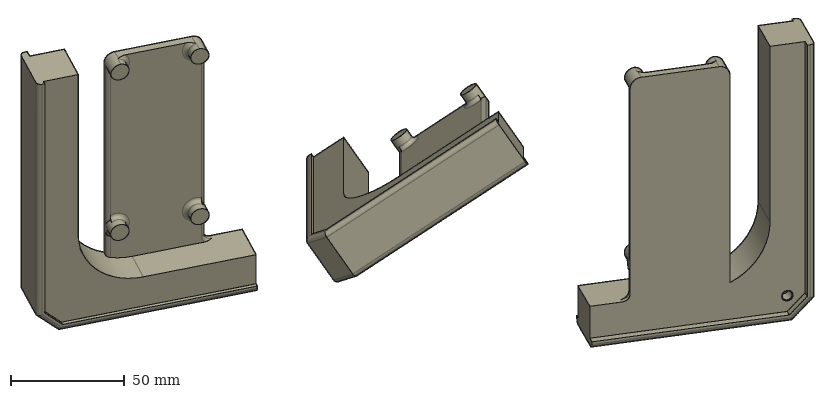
import cadquery as cq
import math

WIDTH = 24.7
DEPTH = 101.59
HEIGHT = 137.64

BASE_HEIGHT = 19.5
COLUMN_DEPTH = 19.5
CORNER_CHAMFER = 10.2
SLOT_RADIUS = 30.0

RIM_THICKNESS = 3.5
RIM_OVERHANG_LEFT = 3.4
RIM_OVERHANG_RIGHT = 1.75
RIM_FILLET = 2.2

PLATE_THICKNESS = 3.8
PLATE_FRONT = 37.7
PLATE_BACK = 83.2
PLATE_TOP = 130.9
PLATE_CORNER_RADIUS = 5.0
FOOT_RADIUS = 3.5
PLATE_EDGE_FILLET = 1.7

BOSS_DIAMETER = 8.5
BOSS_HEIGHT = 5.8
BOSS_FILLET = 2.0
BOSS_SPACING_Z = 88.1

HOLE_DIAMETER = 4.5
HOLE_CHAMFER = 0.35
HOLE_DEPTH = 6.0
HOLE_Y = 11.6
HOLE_Z = 11.4

WALL_LEFT = RIM_OVERHANG_LEFT
WALL_RIGHT = WIDTH - RIM_OVERHANG_RIGHT
PLATE_REAR_FACE = WALL_LEFT + PLATE_THICKNESS
BOSS_RADIUS = BOSS_DIAMETER / 2
RIM_INNER_CORNER = CORNER_CHAMFER + RIM_THICKNESS * (math.sqrt(2) - 1)


def yz_plane(x):
    """Sketch plane at the given X, with local axes along Y and Z and normal +X."""
    return cq.Workplane("YZ", origin=(x, 0, 0))


def make_rim():
    """Full-width band along the front, corner chamfer and underside, rounded on its outer edges."""
    rim = (
        yz_plane(0)
        .moveTo(CORNER_CHAMFER, 0)
        .lineTo(DEPTH, 0)
        .lineTo(DEPTH, RIM_THICKNESS)
        .lineTo(RIM_INNER_CORNER, RIM_THICKNESS)
        .lineTo(RIM_THICKNESS, RIM_INNER_CORNER)
        .lineTo(RIM_THICKNESS, HEIGHT)
        .lineTo(0, HEIGHT)
        .lineTo(0, CORNER_CHAMFER)
        .close()
        .extrude(WIDTH)
    )
    front_edges = rim.faces("<Y").edges("<X or >X")
    underside_edges = rim.faces("<Z").edges("<X or >X")
    chamfer_edges = rim.faces(cq.selectors.DirectionMinMaxSelector(cq.Vector(0, -1, -1))).edges("<X or >X")
    return front_edges.add(underside_edges).add(chamfer_edges).fillet(RIM_FILLET)


def make_frame():
    """Base and column inside the rim, joined by the concave slot curve."""
    slot_center_y = COLUMN_DEPTH + SLOT_RADIUS
    slot_center_z = BASE_HEIGHT + SLOT_RADIUS
    arc_reach = SLOT_RADIUS * math.cos(math.radians(45))
    return (
        yz_plane(WALL_LEFT)
        .moveTo(RIM_INNER_CORNER, RIM_THICKNESS)
        .lineTo(DEPTH, RIM_THICKNESS)
        .lineTo(DEPTH, BASE_HEIGHT)
        .lineTo(slot_center_y, BASE_HEIGHT)
        .threePointArc(
            (slot_center_y - arc_reach, slot_center_z - arc_reach),
            (COLUMN_DEPTH, slot_center_z),
        )
        .lineTo(COLUMN_DEPTH, HEIGHT)
        .lineTo(RIM_THICKNESS, HEIGHT)
        .lineTo(RIM_THICKNESS, RIM_INNER_CORNER)
        .close()
        .extrude(WALL_RIGHT - WALL_LEFT)
    )


def trim_to_plate_corners(body):
    """Cut a body back to the plate outline with its rounded top corners."""
    outline = (
        yz_plane(WALL_LEFT)
        .moveTo(PLATE_FRONT, 0)
        .lineTo(DEPTH, 0)
        .lineTo(DEPTH, BASE_HEIGHT + FOOT_RADIUS)
        .lineTo(PLATE_BACK, BASE_HEIGHT + FOOT_RADIUS)
        .lineTo(PLATE_BACK, PLATE_TOP)
        .lineTo(PLATE_FRONT, PLATE_TOP)
        .close()
        .extrude(PLATE_THICKNESS + BOSS_HEIGHT)
        .edges("|X and >Z")
        .fillet(PLATE_CORNER_RADIUS)
    )
    return body.intersect(outline)


def make_plate():
    """Plate with a concave foot onto the base and rounded long edges on its +X face."""
    foot_end = PLATE_BACK + FOOT_RADIUS
    foot_mid = FOOT_RADIUS * (1 - math.cos(math.radians(45)))
    plate = (
        yz_plane(WALL_LEFT)
        .moveTo(PLATE_FRONT, RIM_THICKNESS)
        .lineTo(foot_end + FOOT_RADIUS, RIM_THICKNESS)
        .lineTo(foot_end + FOOT_RADIUS, BASE_HEIGHT)
        .lineTo(foot_end, BASE_HEIGHT)
        .threePointArc(
            (PLATE_BACK + foot_mid, BASE_HEIGHT + foot_mid),
            (PLATE_BACK, BASE_HEIGHT + FOOT_RADIUS),
        )
        .lineTo(PLATE_BACK, PLATE_TOP)
        .lineTo(PLATE_FRONT, PLATE_TOP)
        .close()
        .extrude(PLATE_THICKNESS)
        .faces(">X")
        .edges("|Z or %CIRCLE")
        .fillet(PLATE_EDGE_FILLET)
    )
    return trim_to_plate_corners(plate)


def make_boss(y, z):
    """Cylindrical standoff along X, rooted in the plate."""
    boss = yz_plane(WALL_LEFT).center(y, z).circle(BOSS_RADIUS).extrude(PLATE_THICKNESS + BOSS_HEIGHT)
    return trim_to_plate_corners(boss)


def make_boss_flare(y, z):
    """Concave fillet around a standoff, on a root disc that reaches through the plate."""
    flare_radius = BOSS_RADIUS + BOSS_FILLET
    fillet_mid = BOSS_FILLET * (1 - math.cos(math.radians(45)))
    flare = (
        cq.Workplane("XY")
        .moveTo(-PLATE_THICKNESS, 0)
        .lineTo(-PLATE_THICKNESS, flare_radius)
        .lineTo(0, flare_radius)
        .threePointArc((fillet_mid, BOSS_RADIUS + fillet_mid), (BOSS_FILLET, BOSS_RADIUS))
        .lineTo(BOSS_FILLET, 0)
        .close()
        .revolve(360, (0, 0, 0), (1, 0, 0))
        .translate((PLATE_REAR_FACE, y, z))
    )
    return trim_to_plate_corners(flare)


def make_bosses():
    """Four standoffs touching the plate's long edges, two at the top corners and two lower down.

    The flares stay on the flat of the plate, except below the lower standoffs,
    where they spread over the rounded edges as well.
    """
    upper_z = PLATE_TOP - BOSS_RADIUS
    lower_z = upper_z - BOSS_SPACING_Z
    flat_width = PLATE_BACK - PLATE_FRONT - 2 * PLATE_EDGE_FILLET
    flat_zone = cq.Workplane("XY").box(WIDTH, flat_width, PLATE_TOP, centered=False)
    flat_zone = flat_zone.translate((0, PLATE_FRONT + PLATE_EDGE_FILLET, 0))
    lower_zone = cq.Workplane("XY").box(WIDTH, DEPTH, lower_z, centered=False)
    flare_zone = flat_zone.union(lower_zone)

    bosses = cq.Workplane("XY")
    for y in (PLATE_FRONT + BOSS_RADIUS, PLATE_BACK - BOSS_RADIUS):
        for z in (upper_z, lower_z):
            flare = make_boss_flare(y, z).intersect(flare_zone)
            bosses = bosses.add(make_boss(y, z).union(flare))
    return bosses.combine()


def make_hole():
    """Blind hole with a lightly chamfered mouth."""
    hole = yz_plane(WALL_LEFT).center(HOLE_Y, HOLE_Z).circle(HOLE_DIAMETER / 2).extrude(HOLE_DEPTH)
    mouth = (
        yz_plane(WALL_LEFT)
        .center(HOLE_Y, HOLE_Z)
        .circle(HOLE_DIAMETER / 2 + HOLE_CHAMFER)
        .extrude(HOLE_CHAMFER, taper=45)
    )
    return hole.union(mouth)


result = (
    make_rim()
    .union(make_frame())
    .union(make_plate())
    .union(make_bosses())
    .cut(make_hole())
)